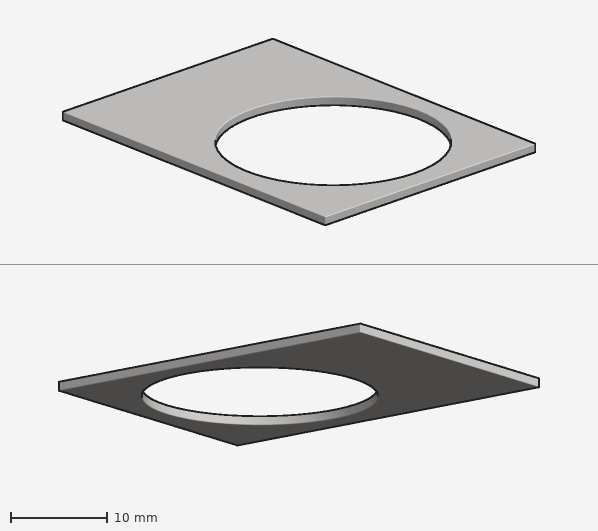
import cadquery as cq

length = 40.0
width = 29.9
thickness = 1.0

opening_diameter = 24.5
opening_x = 5.1
opening_y = 0.1

edge_radius = 0.1


def rounded_plate():
    """Plate with all twelve edges rounded."""
    return cq.Workplane("XY").box(length, width, thickness).edges().fillet(edge_radius)


def opening_cutter():
    """Opening with its rims rolled outward at the top and bottom faces."""
    bore_radius = opening_diameter / 2
    rim_radius = bore_radius + edge_radius
    face_z = thickness / 2
    rim_z = face_z - edge_radius
    arc_middle = edge_radius * (1 - 0.5**0.5)

    half_profile = (
        cq.Workplane("XZ")
        .moveTo(0, -face_z)
        .lineTo(rim_radius, -face_z)
        .threePointArc((bore_radius + arc_middle, -face_z + arc_middle), (bore_radius, -rim_z))
        .lineTo(bore_radius, rim_z)
        .threePointArc((bore_radius + arc_middle, face_z - arc_middle), (rim_radius, face_z))
        .lineTo(0, face_z)
        .close()
    )
    cutter = half_profile.revolve(360, (0, 0, 0), (0, 1, 0))
    return cutter.translate((opening_x, opening_y, 0))


result = rounded_plate().cut(opening_cutter())